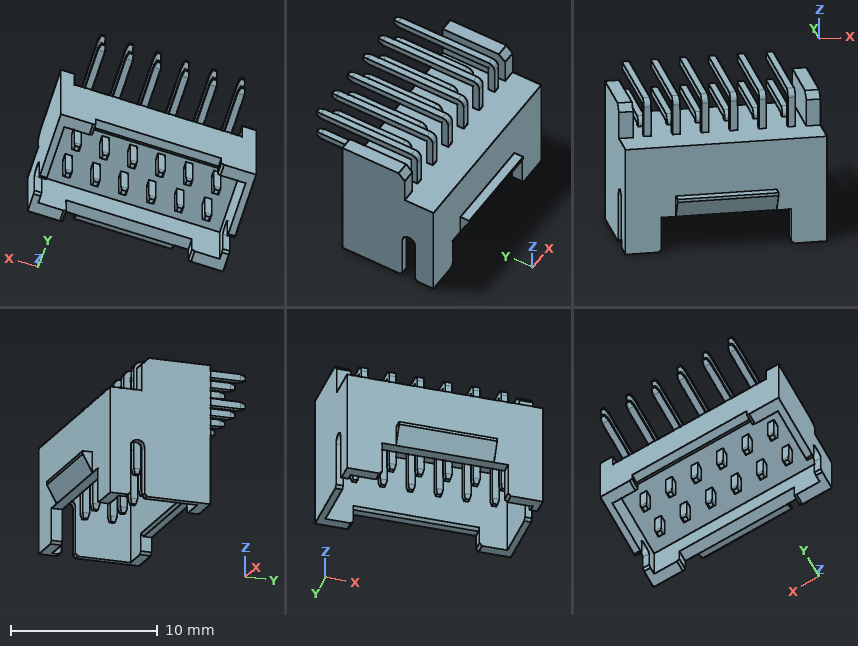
import cadquery as cq


body_width = 14.0
body_depth = 7.3
body_height = 7.6
side_wall = 0.5
front_wall = 0.8
back_wall = 0.8
cavity_back = body_depth - back_wall
cavity_height = 6.0

ear_width = 1.0
ear_depth = 5.0
ear_top = 10.0
ear_chamfer = 0.5

notch_width = 9.0
front_notch_height = 2.5
back_notch_height = 1.26
back_lead_in = 0.2
slot_width = 1.0
slot_height = 4.0
slot_center_y = 1.99
corner_chamfer = 0.2

latch_width = 7.0
latch_reach = 0.7
latch_top = slot_height
latch_lip = 0.21

pins_per_row = 6
pitch = body_width / (pins_per_row + 1)
pin_size = 0.5
tip_size = 0.31
tip_length = 0.39
pin_bottom = 2.2
pin_end_y = 10.5
front_row_y = 2.62
front_row_z = ear_top
row_offsets = (0, pitch)


def box(width, y_min, y_max, z_min, z_max, x_center=0):
    """Box centred on x_center that spans the given Y and Z ranges."""
    size = (width, y_max - y_min, z_max - z_min)
    return cq.Workplane("XY").box(*size, centered=(True, False, False)).translate((x_center, y_min, z_min))


def extrude_x(outline, width):
    """Extrude a closed outline of (y, z) points along X, centred on the YZ plane."""
    return cq.Workplane("YZ").polyline(outline).close().extrude(width / 2, both=True)


def make_ear(side):
    front = body_depth - ear_depth
    ear = box(ear_width, front, body_depth, body_height, ear_top, side * (body_width - ear_width) / 2)
    return ear.edges(">Z and <Y").chamfer(ear_chamfer)


def make_latch():
    outline = [
        (0, latch_top),
        (-latch_reach, latch_top),
        (-latch_reach, latch_top - latch_lip),
        (0, front_notch_height),
    ]
    return extrude_x(outline, latch_width)


def cut_notch(body, height, y_min, y_max):
    """Notch up from the mating side between two Y planes, with chamfered bottom corners."""
    half = notch_width / 2
    corner = half + corner_chamfer
    outline = [
        (-corner, 0),
        (-half, corner_chamfer),
        (-half, height),
        (half, height),
        (half, corner_chamfer),
        (corner, 0),
    ]
    notch = cq.Workplane("XZ", origin=(0, y_max, 0)).polyline(outline).close().extrude(y_max - y_min)
    return body.cut(notch)


def cut_back_lead_in(body):
    """45-degree lead-in on the inner edge above the back notch."""
    outline = [
        (cavity_back, back_notch_height),
        (cavity_back, back_notch_height + back_lead_in),
        (cavity_back + back_lead_in, back_notch_height),
    ]
    return body.cut(extrude_x(outline, notch_width))


def cut_side_slots(body):
    """Round-topped slots through both side walls, flared at the mating side."""
    radius = slot_width / 2
    corner = radius + corner_chamfer
    slots = (
        cq.Workplane("YZ", origin=(0, slot_center_y, 0))
        .moveTo(-corner, 0)
        .lineTo(-radius, corner_chamfer)
        .lineTo(-radius, slot_height - radius)
        .threePointArc((0, slot_height), (radius, slot_height - radius))
        .lineTo(radius, corner_chamfer)
        .lineTo(corner, 0)
        .close()
        .extrude(body_width / 2, both=True)
    )
    return body.cut(slots)


def make_tip(base):
    """Tapered pin end that grows along the normal of the base plane."""
    base_outline = cq.Workplane(base).rect(pin_size, pin_size)
    return base_outline.workplane(offset=tip_length).rect(tip_size, tip_size).loft()


def make_pin(x, y, z):
    """Bent pin with its upright leg centred at y and its horizontal leg centred at z."""
    half = pin_size / 2
    upright = box(pin_size, y - half, y + half, pin_bottom + tip_length, z + half, x)
    horizontal = box(pin_size, y - half, pin_end_y - tip_length, z - half, z + half, x)
    pin = upright.union(horizontal).edges("|X and >Z and <Y").fillet(pin_size)
    lower_base = cq.Plane(origin=(x, y, pin_bottom + tip_length), normal=(0, 0, -1))
    back_base = cq.Plane(origin=(x, pin_end_y - tip_length, z), normal=(0, 1, 0))
    return pin.union(make_tip(lower_base)).union(make_tip(back_base))


result = box(body_width, 0, body_depth, 0, body_height)
result = result.cut(box(body_width - 2 * side_wall, front_wall, cavity_back, 0, cavity_height))
result = cut_notch(result, front_notch_height, 0, front_wall)
result = cut_notch(result, back_notch_height, cavity_back, body_depth)
result = cut_back_lead_in(result)
result = cut_side_slots(result)
result = result.union(make_latch())

for side in (-1, 1):
    result = result.union(make_ear(side))

for offset in row_offsets:
    for index in range(pins_per_row):
        pin_x = (index - (pins_per_row - 1) / 2) * pitch
        result = result.union(make_pin(pin_x, front_row_y + offset, front_row_z - offset))